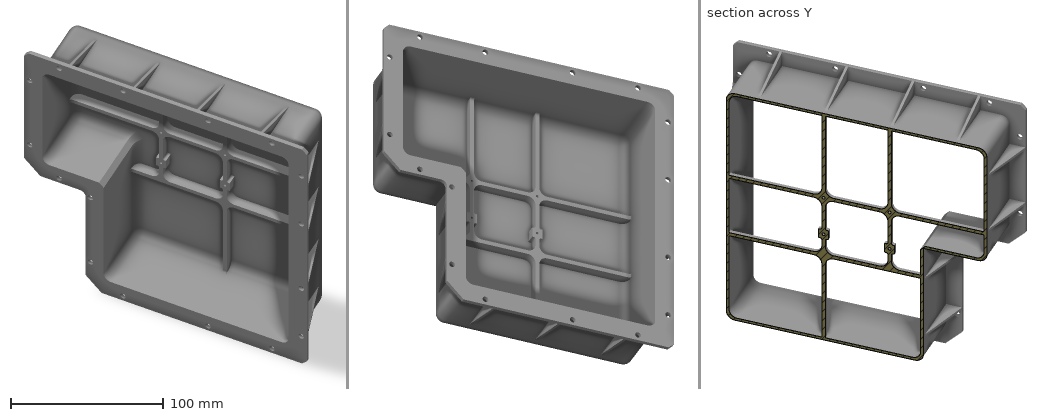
import cadquery as cq

WIDTH = 206.62
DEPTH = 50.42
HEIGHT = 203.07
X_EDGE = WIDTH / 2
Z_EDGE = HEIGHT / 2

NOTCH_WIDTH = 44.8
NOTCH_HEIGHT = 90.5
NOTCH_X = -X_EDGE + NOTCH_WIDTH
NOTCH_Z = -Z_EDGE + NOTCH_HEIGHT

FLANGE_THICKNESS = 2.8
SMALL_CHAMFER = 3.5
LARGE_CHAMFER = 11.8
NOTCH_FILLET = 4.2

HOLE_DIAMETER = 4.09
HOLE_INSET = 4.1
NOTCH_HOLE_INSET = 3.6
HOLE_X_OUTER = 77.75
HOLE_X_INNER = 31.1
HOLE_Z_OUTER = 76.0
HOLE_Z_INNER = 30.6
HOLE_Z_BESIDE_NOTCH = 15.0

WALL_INSET = 11.2
WALL_THICKNESS = 2.2
CAVITY_INSET = WALL_INSET + WALL_THICKNESS
FLOOR_THICKNESS = 2.2
FLOOR_Y = DEPTH - FLOOR_THICKNESS
OUTER_RADIUS = 6.3
INNER_RADIUS = 5.5
CAVITY_CORNER_CHAMFER = 3.4

RIB_THICKNESS = 2.9
RIB_HEIGHT = 7.1
RIB_TOP_Y = FLOOR_Y - RIB_HEIGHT
RIB_X = 23.3
RIB_UPPER_Z = 23.0
RIB_LOWER_Z = -22.7
RIB_CROSSING_FILLET = 5.6
RIB_END_FILLET = 1.4

PAD_SIZE = 7.3
PAD_Z = -6.0
PAD_FILLET = 1.0
PILOT_DIAMETER = 1.78
PILOT_DEPTH = 5.0

GUSSET_THICKNESS = 1.8
GUSSET_TOP_Y = 40.7
GUSSET_X_POSITIONS = (-70.7, -24.0, 22.7, 69.4)
GUSSET_Z_POSITIONS = (67.7, 23.9, -25.7, -71.0)

OVERLAP = 1.0
TOLERANCE = 0.05


def outer_corners(inset):
    """The five convex corners of the L shape, clockwise from the upper left."""
    left, right = -X_EDGE + inset, X_EDGE - inset
    bottom, top = -Z_EDGE + inset, Z_EDGE - inset
    return [(left, top), (right, top), (right, bottom), (NOTCH_X + inset, bottom), (left, NOTCH_Z + inset)]


def notch_corner(inset):
    """The concave corner of the L shape."""
    return (NOTCH_X + inset, NOTCH_Z + inset)


def l_block(inset, length):
    """L-shaped prism from Y = 0, its sides set back from the flange edges by the inset."""
    corners = outer_corners(inset)
    outline = corners[:4] + [notch_corner(inset)] + corners[4:]
    return cq.Workplane("XZ").polyline(outline).close().extrude(-length)


def upright_edges(body, points):
    """Edges parallel to Y that pass through the given (x, z) points."""
    return body.edges("|Y").filter(
        lambda edge: any(
            abs(edge.Center().x - x) < TOLERANCE and abs(edge.Center().z - z) < TOLERANCE for x, z in points
        )
    )


def make_flange():
    flange = l_block(0, FLANGE_THICKNESS)
    corners = outer_corners(0)
    flange = upright_edges(flange, corners[:3]).chamfer(SMALL_CHAMFER)
    flange = upright_edges(flange, corners[3:]).chamfer(LARGE_CHAMFER)
    return upright_edges(flange, [notch_corner(0)]).fillet(NOTCH_FILLET)


def rounded_block(inset, length, radius):
    """L-shaped prism with rounded convex corners and a rounded rim at its far end."""
    block = l_block(inset, length)
    block = upright_edges(block, outer_corners(inset)).fillet(radius)
    return block.faces(">Y").edges().fillet(radius)


def make_cavity():
    """Inner space; the wall corner at the notch is chamfered along with the rounding below it."""
    cavity = rounded_block(CAVITY_INSET, FLOOR_Y, INNER_RADIUS)
    return upright_edges(cavity, [notch_corner(CAVITY_INSET)]).chamfer(CAVITY_CORNER_CHAMFER)


def rib_bar(x_start, x_end, z_start, z_end):
    """Block over a rectangle in X and Z, from the rib top into the floor."""
    height = RIB_HEIGHT + OVERLAP
    bar = cq.Workplane("XY").box(x_end - x_start, height, z_end - z_start, centered=False)
    return bar.translate((x_start, RIB_TOP_Y, z_start))


def make_ribs(shell):
    """Two level and two upright ribs with pads, trimmed to the outside of the shell."""
    half = RIB_THICKNESS / 2
    pad = PAD_SIZE / 2
    x_end = X_EDGE - CAVITY_INSET + OVERLAP
    z_end = Z_EDGE - CAVITY_INSET + OVERLAP
    x_notch_end = NOTCH_X + CAVITY_INSET - OVERLAP

    ribs = rib_bar(-x_end, x_end, RIB_UPPER_Z - half, RIB_UPPER_Z + half)
    ribs = ribs.union(rib_bar(x_notch_end, x_end, RIB_LOWER_Z - half, RIB_LOWER_Z + half))
    ribs = ribs.union(rib_bar(-RIB_X - half, -RIB_X + half, RIB_LOWER_Z, z_end))
    ribs = ribs.union(rib_bar(RIB_X - half, RIB_X + half, -z_end, z_end))
    for x in (-RIB_X, RIB_X):
        ribs = ribs.union(rib_bar(x - pad, x + pad, PAD_Z - pad, PAD_Z + pad))

    side_x = [x + side * half for x in (-RIB_X, RIB_X) for side in (-1, 1)]
    crossing_z = [z + side * half for z in (RIB_LOWER_Z, RIB_UPPER_Z) for side in (-1, 1)]
    pad_end_z = [PAD_Z + side * pad for side in (-1, 1)]
    ribs = upright_edges(ribs, [(x, z) for x in side_x for z in crossing_z]).fillet(RIB_CROSSING_FILLET)
    ribs = upright_edges(ribs, [(x, z) for x in side_x for z in pad_end_z]).fillet(PAD_FILLET)
    return ribs.intersect(shell)


def round_rib_ends(body):
    """Concave fillet where the top of each rib runs into a cavity wall."""
    x_wall = X_EDGE - CAVITY_INSET
    z_wall = Z_EDGE - CAVITY_INSET
    ends = [(-x_wall, RIB_UPPER_Z), (x_wall, RIB_UPPER_Z)]
    ends += [(NOTCH_X + CAVITY_INSET, RIB_LOWER_Z), (x_wall, RIB_LOWER_Z)]
    ends += [(-RIB_X, z_wall), (RIB_X, z_wall), (RIB_X, -z_wall)]
    for x, z in ends:
        low = (x - TOLERANCE, RIB_TOP_Y - TOLERANCE, z - TOLERANCE)
        high = (x + TOLERANCE, RIB_TOP_Y + TOLERANCE, z + TOLERANCE)
        body = body.edges(cq.selectors.BoxSelector(low, high)).fillet(RIB_END_FILLET)
    return body


def gusset(edge_x, edge_z, turn):
    """Web from a point on the flange edge to the wall; outward is +X, turned about Y by an angle."""
    base_y = FLANGE_THICKNESS - OVERLAP
    root = -WALL_INSET - OVERLAP
    profile = [
        (0, base_y),
        (0, FLANGE_THICKNESS),
        (-WALL_INSET, GUSSET_TOP_Y),
        (root, GUSSET_TOP_Y),
        (root, base_y),
    ]
    web = cq.Workplane("XY").polyline(profile).close().extrude(GUSSET_THICKNESS / 2, both=True)
    return web.rotate((0, 0, 0), (0, 1, 0), turn).translate((edge_x, 0, edge_z))


def add_gussets(body):
    """Gussets on every wall except the level wall of the notch."""
    for z in GUSSET_Z_POSITIONS:
        left_edge = -X_EDGE if z > NOTCH_Z else NOTCH_X
        body = body.union(gusset(X_EDGE, z, 0))
        body = body.union(gusset(left_edge, z, 180))
    for x in GUSSET_X_POSITIONS:
        body = body.union(gusset(x, Z_EDGE, -90))
        if x > NOTCH_X:
            body = body.union(gusset(x, -Z_EDGE, 90))
    return body


def drill(body, points, diameter, start_y, depth):
    """Round holes at (x, z) points, running towards +Y."""
    plane = cq.Workplane("XZ", origin=(0, start_y, 0))
    return body.cut(plane.pushPoints(points).circle(diameter / 2).extrude(-depth))


def flange_hole_points():
    x_side = X_EDGE - HOLE_INSET
    z_side = Z_EDGE - HOLE_INSET
    x_notch_side = NOTCH_X + NOTCH_HOLE_INSET
    points = [(x, z_side) for x in (-HOLE_X_OUTER, -HOLE_X_INNER, HOLE_X_INNER, HOLE_X_OUTER)]
    points += [(x, -z_side) for x in (-HOLE_X_INNER, HOLE_X_INNER, HOLE_X_OUTER)]
    points += [(x_side, z) for z in (-HOLE_Z_OUTER, -HOLE_Z_INNER, HOLE_Z_INNER, HOLE_Z_OUTER)]
    points += [(-x_side, z) for z in (HOLE_Z_BESIDE_NOTCH, HOLE_Z_OUTER)]
    points += [(x_notch_side, z) for z in (-HOLE_Z_OUTER, -HOLE_Z_BESIDE_NOTCH)]
    points += [(-HOLE_X_OUTER, NOTCH_Z + HOLE_INSET)]
    return points


def pilot_hole_points():
    return [(x, z) for x in (-RIB_X, RIB_X) for z in (PAD_Z, RIB_UPPER_Z)]


outer_shell = rounded_block(WALL_INSET, DEPTH, OUTER_RADIUS)
pan = add_gussets(make_flange().union(outer_shell))
pan = pan.cut(make_cavity())
pan = round_rib_ends(pan.union(make_ribs(outer_shell)))
pan = drill(pan, flange_hole_points(), HOLE_DIAMETER, 0, FLANGE_THICKNESS)
result = drill(pan, pilot_hole_points(), PILOT_DIAMETER, RIB_TOP_Y, PILOT_DEPTH)